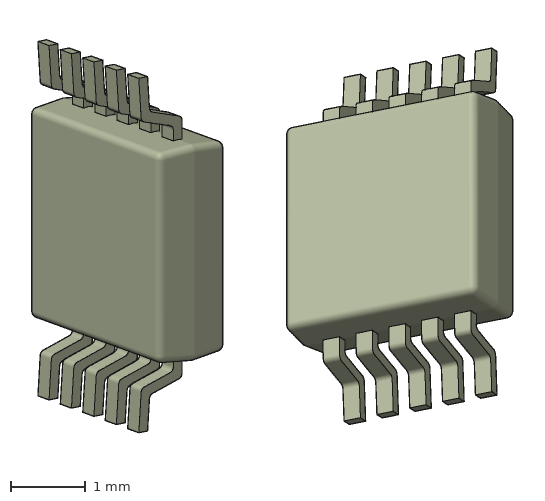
import cadquery as cq
import math

body_size = 3.0
body_thickness = 1.1
draft_angle = 5.0
body_fillet = 0.1

total_height = 4.92
leads_per_row = 5
row_span = 2.0
lead_width = 0.25
lead_thickness = 0.15
lead_embed = 0.195
stem_bend_z = 1.695
slope_angle = 16.3
foot_angle = 4.0
foot_reach = 0.65
bend_radius = 0.075


def make_body():
    """Two mirrored halves, each narrowing away from the split plane and rounded on its outer edges."""
    front_half = (
        cq.Workplane("XZ")
        .rect(body_size, body_size)
        .extrude(body_thickness / 2, taper=draft_angle)
        .edges("not >Y")
        .fillet(body_fillet)
    )
    return front_half.union(front_half.mirror("XZ"))


def lead_profile():
    """Corner points (Y, Z) of an upper lead: up the front side, then down the back side."""
    slope = math.tan(math.radians(slope_angle))
    lean = math.tan(math.radians(foot_angle))
    tip_z = total_height / 2
    root_z = body_size / 2 - lead_embed
    front_y = -lead_thickness / 2
    back_y = lead_thickness / 2

    slope_height = lead_thickness / math.cos(math.radians(slope_angle))
    foot_depth = lead_thickness / math.cos(math.radians(foot_angle))

    def foot_corner(foot_tip_y, slope_start_z):
        """Where the foot line meets the slope line that passes slope_start_z at front_y."""
        drop = tip_z - slope_start_z
        y = (foot_tip_y + lean * (drop - slope * front_y)) / (1 - lean * slope)
        return y, slope_start_z + slope * (front_y - y)

    front_tip_y = -foot_reach
    back_tip_y = front_tip_y + foot_depth
    back_slope_z = stem_bend_z + slope_height
    return [
        (front_y, root_z),
        (front_y, stem_bend_z),
        foot_corner(front_tip_y, stem_bend_z),
        (front_tip_y, tip_z),
        (back_tip_y, tip_z),
        foot_corner(back_tip_y, back_slope_z),
        (back_y, back_slope_z - slope * lead_thickness),
        (back_y, root_z),
    ]


def make_lead():
    """One upper lead centred on X = 0, with its four bend corners rounded."""
    bend_zone = cq.selectors.BoxSelector(
        (-lead_width, -foot_reach, stem_bend_z - bend_radius),
        (lead_width, lead_thickness, total_height / 2 - bend_radius),
    )
    return (
        cq.Workplane("YZ")
        .polyline(lead_profile())
        .close()
        .extrude(lead_width / 2, both=True)
        .edges("|X")
        .edges(bend_zone)
        .fillet(bend_radius)
    )


result = make_body()
upper_lead = make_lead()
lower_lead = upper_lead.mirror("XY")
lead_pitch = row_span / (leads_per_row - 1)
for index in range(leads_per_row):
    lead_x = index * lead_pitch - row_span / 2
    for lead in (upper_lead, lower_lead):
        result = result.union(lead.translate((lead_x, 0, 0)))